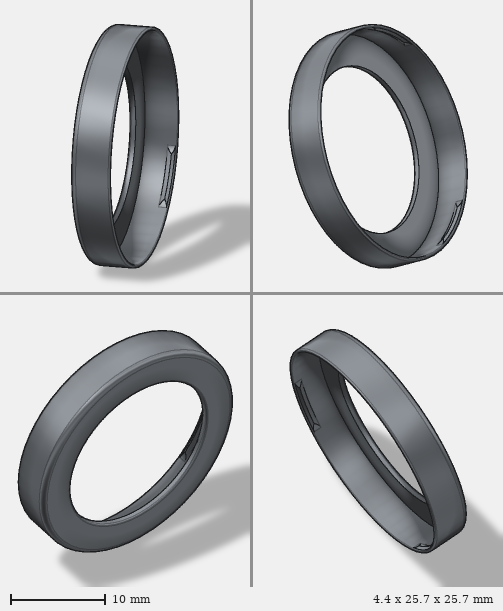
import cadquery as cq
import math

outer_diameter = 25.7
pocket_diameter = 25.0
lip_diameter = 18.2
width = 4.4
lip_thickness = 0.7
front_round = 0.6
lip_round = 0.2
rear_round = 0.2
pocket_round = 0.1

ridge_count = 3
first_ridge_angle = 90.0
ridge_half_angle = 16.6
ridge_height = 0.2
ridge_start = 3.33
ridge_crest = 3.87
ridge_end = 4.2
ridge_end_radius = 2.4
ridge_end_overcut = 0.005

outer_radius = outer_diameter / 2
pocket_radius = pocket_diameter / 2
lip_radius = lip_diameter / 2


def turn_about_x(solid, angle):
    return solid.rotate((0, 0, 0), (1, 0, 0), angle)


def revolve_about_x(profile, angle=360.0):
    """Revolve a closed XY profile, whose Y is the radius, about the X axis."""
    return profile.revolve(angle, (0, 0, 0), (1, 0, 0))


def make_ring():
    """Thin-walled ring with a flat inward lip and rounded edges."""
    profile = (
        cq.Workplane("XY")
        .moveTo(lip_round, lip_radius)
        .radiusArc((0, lip_radius + lip_round), lip_round)
        .lineTo(0, outer_radius - front_round)
        .radiusArc((front_round, outer_radius), front_round)
        .lineTo(width - rear_round, outer_radius)
        .radiusArc((width, outer_radius - rear_round), rear_round)
        .lineTo(width, pocket_radius + pocket_round)
        .radiusArc((width - pocket_round, pocket_radius), pocket_round)
        .lineTo(lip_thickness, pocket_radius)
        .lineTo(lip_thickness, lip_radius)
        .close()
    )
    return revolve_about_x(profile)


def make_ridge_end_cutter(angle):
    """Cylinder along X that just grazes the pocket wall at the given angle."""
    axis_radius = pocket_radius - ridge_end_radius + ridge_end_overcut
    axis_y = axis_radius * math.cos(math.radians(angle))
    axis_z = axis_radius * math.sin(math.radians(angle))
    return cq.Workplane("YZ").center(axis_y, axis_z).circle(ridge_end_radius).extrude(width)


def make_ridge():
    """Triangular ridge centred on +Y, with concave ends that fade into the wall."""
    root_radius = (outer_radius + pocket_radius) / 2
    profile = (
        cq.Workplane("XY")
        .moveTo(ridge_start, root_radius)
        .lineTo(ridge_start, pocket_radius)
        .lineTo(ridge_crest, pocket_radius - ridge_height)
        .lineTo(ridge_end, pocket_radius)
        .lineTo(ridge_end, root_radius)
        .close()
    )
    ridge = turn_about_x(revolve_about_x(profile, 2 * ridge_half_angle), -ridge_half_angle)
    for end_angle in (-ridge_half_angle, ridge_half_angle):
        ridge = ridge.cut(make_ridge_end_cutter(end_angle))
    return ridge


result = make_ring()
ridge = make_ridge()
for index in range(ridge_count):
    ridge_angle = first_ridge_angle + index * 360.0 / ridge_count
    result = result.union(turn_about_x(ridge, ridge_angle))